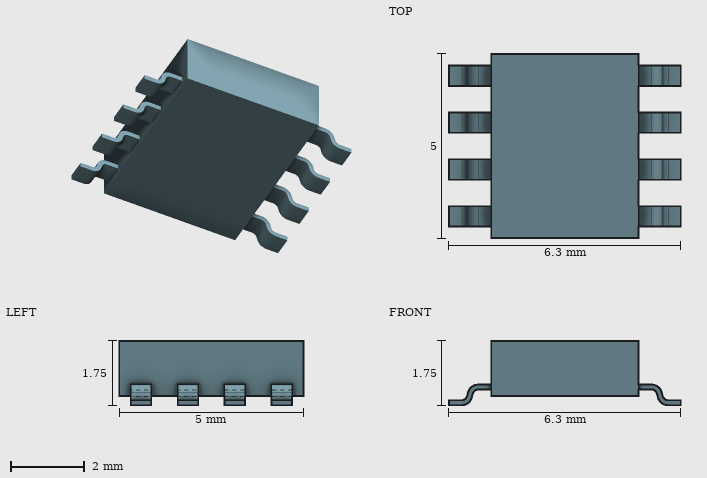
import cadquery as cq
import math

overall_length = 6.3
package_length = 4.0
package_width = 5.0
package_height = 1.5
standoff = 0.25

leads_per_side = 4
lead_pitch = 1.27
lead_width = 0.56
lead_thickness = 0.14
shoulder_height = 0.57
foot_length = 0.345
bend_angle = 75.0
inner_radius = 0.15

outer_radius = inner_radius + lead_thickness
bend_rad = math.radians(bend_angle)
bend_radii = inner_radius + outer_radius
leg_rise = shoulder_height - lead_thickness - bend_radii * (1 - math.cos(bend_rad))
bend_run = bend_radii * math.sin(bend_rad) + leg_rise / math.tan(bend_rad)


def point_around(center, radius, angle):
    """Point at the given angle (degrees from +X) on a circle in the XZ plane."""
    angle_rad = math.radians(angle)
    return (center[0] + radius * math.cos(angle_rad), center[1] + radius * math.sin(angle_rad))


def make_package():
    return cq.Workplane("XY").box(
        package_length, package_width, package_height, centered=(True, True, False)
    ).translate((0, 0, standoff))


def make_lead():
    """Lead on the -X side, centred on Y = 0, ending flush on the package wall."""
    tip_x = -overall_length / 2
    wall_x = -package_length / 2
    shoulder_underside = shoulder_height - lead_thickness

    lower_center = (tip_x + foot_length, outer_radius)
    upper_center = (lower_center[0] + bend_run, shoulder_height - outer_radius)
    down, up = -90.0, 90.0

    def bend_arc(outline, center, radius, start, end):
        middle = (start + end) / 2
        return outline.threePointArc(
            point_around(center, radius, middle), point_around(center, radius, end)
        )

    outline = cq.Workplane("XZ").moveTo(tip_x, 0).lineTo(tip_x, lead_thickness)
    outline = outline.lineTo(*point_around(lower_center, inner_radius, down))
    outline = bend_arc(outline, lower_center, inner_radius, down, down + bend_angle)
    outline = outline.lineTo(*point_around(upper_center, outer_radius, up + bend_angle))
    outline = bend_arc(outline, upper_center, outer_radius, up + bend_angle, up)
    outline = outline.lineTo(wall_x, shoulder_height)

    outline = outline.lineTo(wall_x, shoulder_underside)
    outline = outline.lineTo(*point_around(upper_center, inner_radius, up))
    outline = bend_arc(outline, upper_center, inner_radius, up, up + bend_angle)
    outline = outline.lineTo(*point_around(lower_center, outer_radius, down + bend_angle))
    outline = bend_arc(outline, lower_center, outer_radius, down + bend_angle, down)
    return outline.close().extrude(lead_width / 2, both=True)


package = make_package()

left_lead = make_lead()
right_lead = left_lead.mirror("YZ")
leads = []
for index in range(leads_per_side):
    lead_y = (index - (leads_per_side - 1) / 2) * lead_pitch
    for lead in (left_lead, right_lead):
        leads.append(lead.translate((0, lead_y, 0)).val())

result = cq.Compound.makeCompound([package.val(), *leads])